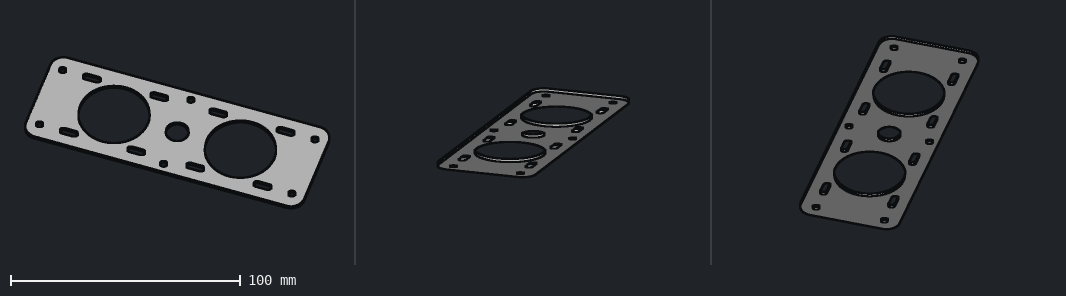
import cadquery as cq

plate_length = 128.0
plate_width = 45.0
plate_thickness = 1.5
corner_radius = 6.0

large_opening_diameter = 31.0
large_opening_x = 29.0
centre_opening_diameter = 10.0

screw_diameter = 3.1
row_y = 15.5
end_hole_x = 58.0
middle_hole_y = 18.3
slot_length = 8.0
slot_offset = 15.5

sides = (-1, 1)
end_holes = [(sx * end_hole_x, sy * row_y) for sx in sides for sy in sides]
middle_holes = [(0, sy * middle_hole_y) for sy in sides]
large_openings = [(sx * large_opening_x, 0) for sx in sides]
slots = [
    (opening_x + sx * slot_offset, sy * row_y)
    for opening_x, _ in large_openings
    for sx in sides
    for sy in sides
]

plate = (
    cq.Workplane("XY")
    .box(plate_length, plate_width, plate_thickness)
    .edges("|Z")
    .fillet(corner_radius)
)

result = (
    plate.faces(">Z")
    .workplane(origin=(0, 0, 0))
    .pushPoints(large_openings)
    .hole(large_opening_diameter)
    .pushPoints([(0, 0)])
    .hole(centre_opening_diameter)
    .pushPoints(end_holes + middle_holes)
    .hole(screw_diameter)
    .pushPoints(slots)
    .slot2D(slot_length, screw_diameter)
    .cutThruAll()
)